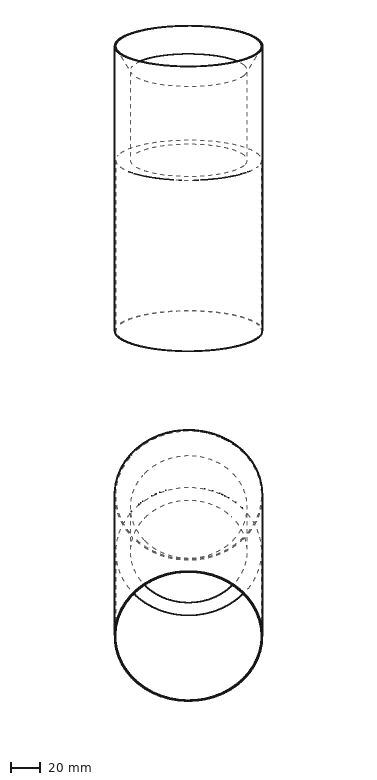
import cadquery as cq

length = 200
outer_diameter = 100
wall = 0.8

throat_radius = 39.5
socket_depth = 120
flare_depth = 16.8

outer_radius = outer_diameter / 2
inner_radius = outer_radius - wall


def wall_section():
    """Half section of the tube wall, drawn as (radius, height)."""
    flare_start = length - flare_depth
    points = [
        (outer_radius, 0),
        (outer_radius, length),
        (inner_radius, length),
        (throat_radius, flare_start),
        (throat_radius, socket_depth),
        (inner_radius, socket_depth),
        (inner_radius, 0),
    ]
    return cq.Workplane("XZ").polyline(points).close()


result = wall_section().revolve(360, (0, 0, 0), (0, 1, 0))